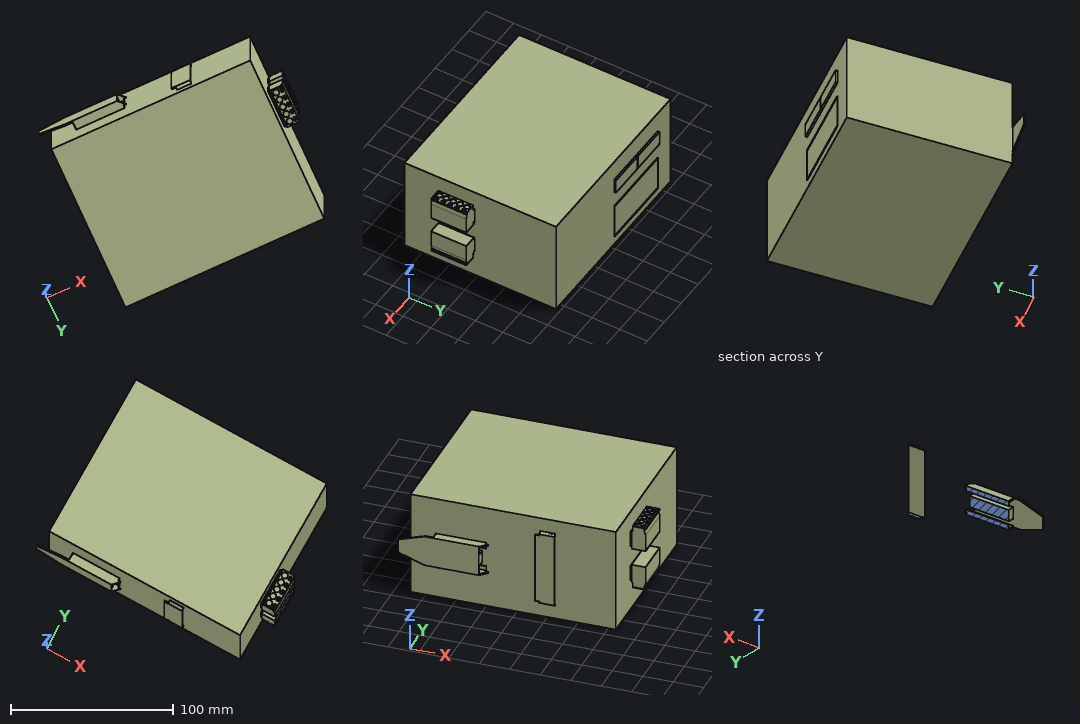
import cadquery as cq

overall_length = 150.9

housing_length = 135.0
housing_depth = 110.0
housing_height = 70.0

clip_overhang = 5.7
clip_depth = 6.0
clip_height = 20.5
clip_sheet = 1.0
tongue_tip_height = 9.4
tongue_taper_length = 17.5
wall_start = 16.9
wall_end = 50.0
nose_end = 51.8
plate_end = 47.2
nose_gap = 1.7
web_height = 8.1
flange_height = 2.9
flange_sheet = 0.6

label_left = 85.4
label_width = 9.8
label_depth = 2.1
label_sheet = 0.9
label_height = 51.6
label_flat_height = 49.2
tab_length = 2.9
tab_height = 47.4

back_left = 15.4
back_plate_count = 2
back_plate_width = 25.4
back_plate_gap = 0.6
back_plate_height = 10.3
back_plate_thickness = 1.4
back_plate_center_z = 14.8
back_label_height = 25.7
back_label_thickness = 0.5
back_label_center_z = -15.2

terminal_mirror_z = 3.3
terminal_reach = overall_length - clip_overhang - housing_length
terminal_front = 25.7
terminal_width = 25.5
terminal_cap = 0.6
cap_step = 0.2
terminal_top = 25.4
terminal_bottom = 9.0
neck_bottom = 10.4
neck_top = 20.8
body_gap_low = 0.9
body_gap_high = 1.7
shoulder_top = 22.5
lip_bottom = 24.5
lip_length = 1.0
terminal_count = 5
terminal_pitch = 5.0
screw_diameter = 3.9
screw_offset = 4.7
slot_offset = 8.3
slot_width = 1.0
slot_length = 2.5
recess_depth = 0.6


def box(x_range, y_range, z_range):
    """Axis-aligned block between the given limits."""
    size = [high - low for low, high in (x_range, y_range, z_range)]
    corner = (x_range[0], y_range[0], z_range[0])
    return cq.Workplane("XY").box(*size, centered=False).translate(corner)


def centered_span(center, size):
    return (center - size / 2, center + size / 2)


def make_housing():
    return box((0, housing_length), (0, housing_depth), centered_span(0, housing_height))


def make_clip():
    half_height = clip_height / 2
    half_tip = tongue_tip_height / 2
    shoulder = tongue_taper_length - clip_overhang

    profile = (
        cq.Workplane("XY")
        .moveTo(-clip_overhang, -clip_depth)
        .lineTo(plate_end, -clip_depth)
        .lineTo(nose_end, -nose_gap)
        .lineTo(wall_end, -nose_gap)
        .lineTo(wall_end, 0)
        .lineTo(wall_start, 0)
        .lineTo(wall_start, clip_sheet - clip_depth)
        .lineTo(-clip_overhang, clip_sheet - clip_depth)
        .close()
        .extrude(half_height, both=True)
    )
    outline = (
        cq.Workplane("XZ")
        .moveTo(-clip_overhang, -half_tip)
        .lineTo(shoulder, -half_height)
        .lineTo(nose_end, -half_height)
        .lineTo(nose_end, half_height)
        .lineTo(shoulder, half_height)
        .lineTo(-clip_overhang, half_tip)
        .close()
        .extrude(clip_depth)
    )
    channel_height = clip_height - 2 * clip_sheet
    channel = box((wall_start, nose_end), (clip_sheet - clip_depth, 0), centered_span(0, channel_height))
    nose_opening = box((plate_end, nose_end), (-clip_depth, 0), centered_span(0, channel_height))
    clip = profile.intersect(outline).cut(channel).cut(nose_opening)

    web = box((wall_start, plate_end), (clip_sheet - clip_depth, 0), centered_span(0, web_height))
    clip = clip.union(web)

    flange_top = channel_height / 2
    flange = box((wall_start, wall_end), (-flange_sheet, 0), (flange_top - flange_height, flange_top))
    return clip.union(flange).union(flange.mirror("XY"))


def make_label_holder():
    half_foot = label_height / 2
    half_flat = label_flat_height / 2
    inner_depth = label_depth - label_sheet
    bridge = (
        cq.Workplane("YZ", origin=(label_left, 0, 0))
        .moveTo(0, half_foot)
        .lineTo(-label_depth, half_flat)
        .lineTo(-label_depth, -half_flat)
        .lineTo(0, -half_foot)
        .lineTo(0, label_sheet - half_foot)
        .lineTo(-inner_depth, label_sheet - half_flat)
        .lineTo(-inner_depth, half_flat - label_sheet)
        .lineTo(0, half_foot - label_sheet)
        .close()
        .extrude(label_width)
    )
    tab = box((label_left - tab_length, label_left), (-label_depth, -inner_depth), centered_span(0, tab_height))
    return bridge.union(tab)


def make_back_plates():
    back_plane = housing_depth
    pitch = back_plate_width + back_plate_gap
    plate_y = (back_plane, back_plane + back_plate_thickness)
    plate_z = centered_span(back_plate_center_z, back_plate_height)
    label_x = (back_left, back_left + back_plate_count * pitch - back_plate_gap)
    label_y = (back_plane, back_plane + back_label_thickness)
    plates = box(label_x, label_y, centered_span(back_label_center_z, back_label_height))
    for index in range(back_plate_count):
        left = back_left + index * pitch
        plates = plates.union(box((left, left + back_plate_width), plate_y, plate_z))
    return plates


def make_terminal_block():
    def at(offset):
        return housing_length + offset

    back = terminal_front + terminal_width
    body = (
        cq.Workplane("XZ", origin=(0, back, 0))
        .moveTo(at(body_gap_low), terminal_bottom)
        .lineTo(at(terminal_reach), terminal_bottom)
        .lineTo(at(terminal_reach), neck_top)
        .lineTo(at(terminal_reach - lip_length), lip_bottom)
        .lineTo(at(terminal_reach), lip_bottom)
        .lineTo(at(terminal_reach), terminal_top)
        .lineTo(at(body_gap_high), terminal_top)
        .lineTo(at(body_gap_high), shoulder_top)
        .lineTo(at(body_gap_low), neck_top)
        .close()
        .extrude(terminal_width)
    )
    body_front = terminal_front + terminal_cap
    neck = box((housing_length, at(body_gap_high)), (body_front, back), (neck_bottom, neck_top))
    step = box(
        (at(body_gap_high), at(terminal_reach)),
        (terminal_front, body_front),
        (terminal_top - cap_step, terminal_top),
    )
    block = body.union(neck).cut(step)

    middle = terminal_front + terminal_width / 2
    recess_floor = terminal_top - recess_depth
    for index in range(terminal_count):
        y = middle + (index - (terminal_count - 1) / 2) * terminal_pitch
        screw = (
            cq.Workplane("XY", origin=(at(screw_offset), y, recess_floor))
            .circle(screw_diameter / 2)
            .extrude(recess_depth)
        )
        slot = box(
            centered_span(at(slot_offset), slot_width),
            centered_span(y, slot_length),
            (recess_floor, terminal_top),
        )
        block = block.cut(screw).cut(slot)
    return block


upper_terminal = make_terminal_block()
lower_terminal = upper_terminal.mirror("XY", (0, 0, terminal_mirror_z))
result = (
    make_housing()
    .union(make_clip())
    .union(make_label_holder())
    .union(make_back_plates())
    .union(upper_terminal)
    .union(lower_terminal)
)